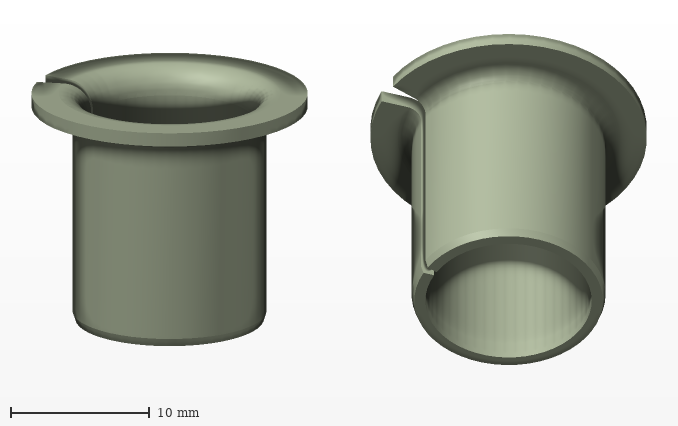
import cadquery as cq
import math

height = 17.0
flange_radius = 9.96
wall = 1.0
bore_radius = 6.0
body_radius = bore_radius + wall
outer_fillet = 1.0
mouth_radius = outer_fillet + wall
chamfer_width = 0.2
chamfer_height = 0.6

slit_bore_width = 0.35
slit_half_angle = 10.0

diagonal = math.sqrt(0.5)


def revolved_bushing():
    """Revolve the wall section, drawn on the -X side as radius against height."""
    arc_radius = body_radius + outer_fillet
    arc_height = height - mouth_radius
    return (
        cq.Workplane("XZ").transformed(rotate=(0, 180, 0))
        .moveTo(bore_radius, 0)
        .lineTo(body_radius - chamfer_width, 0)
        .lineTo(body_radius, chamfer_height)
        .lineTo(body_radius, arc_height)
        .threePointArc(
            (arc_radius - outer_fillet * diagonal, arc_height + outer_fillet * diagonal),
            (arc_radius, height - wall),
        )
        .lineTo(flange_radius, height - wall)
        .lineTo(flange_radius, height)
        .lineTo(arc_radius, height)
        .threePointArc(
            (arc_radius - mouth_radius * diagonal, arc_height + mouth_radius * diagonal),
            (bore_radius, arc_height),
        )
        .close()
        .revolve(360, (0, 0, 0), (0, 1, 0))
    )


def slit_cutter():
    """Wedge with its apex inside the bore, running the full height."""
    slope = math.tan(math.radians(slit_half_angle))
    apex_x = -bore_radius + slit_bore_width / 2 / slope
    outer_x = -1.1 * flange_radius
    half_width = (apex_x - outer_x) * slope
    return (
        cq.Workplane("XY")
        .polyline([(apex_x, 0), (outer_x, half_width), (outer_x, -half_width)])
        .close()
        .extrude(height)
    )


result = revolved_bushing().cut(slit_cutter())